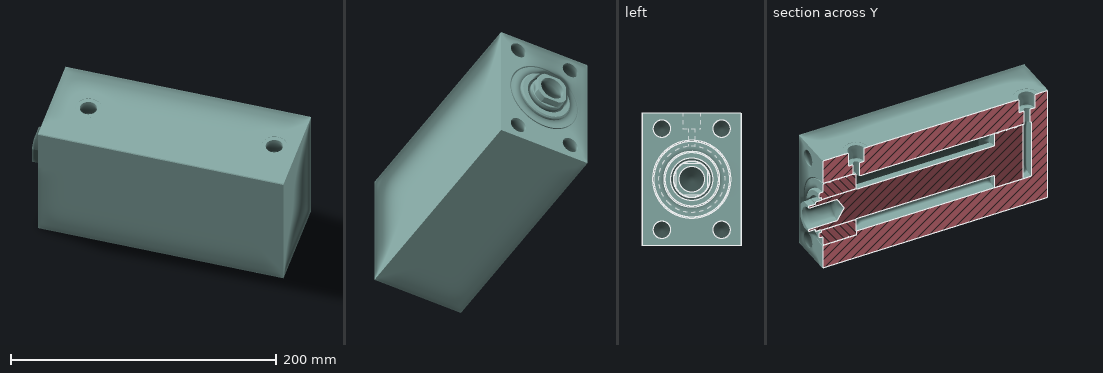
import cadquery as cq
import math

TOTAL_LENGTH = 205.0
BLOCK_WIDTH = 75.0
BLOCK_HEIGHT = 100.0
BLOCK_FACE_X = 12.0
EDGE_CHAMFER = 0.6

PORT_FRONT_X = 41.0
PORT_REAR_X = 187.0
PORT_SPOT_RADIUS = 10.0
PORT_SPOT_DEPTH = 0.2
PORT_RADIUS = 6.5
PORT_DEPTH = 12.3
PORT_FEED_RADIUS = 2.5

MOUNT_SPACING_Y = 45.0
MOUNT_SPACING_Z = 76.3
MOUNT_RADIUS = 6.5
MOUNT_DEPTH = 24.5
DRILL_TIP_ANGLE = 118.0

GLAND_RADIUS = 28.5
GLAND_SEAT_CHAMFER = 1.0
GLAND_NOSE_RADIUS = 21.1
GLAND_NOSE_LENGTH = 3.0
GLAND_NOSE_CHAMFER = 1.0
GLAND_FACE_X = BLOCK_FACE_X - GLAND_NOSE_LENGTH
GLAND_END_X = PORT_FRONT_X
WIPER_RADIUS = 16.0
WIPER_DEPTH = 1.8

ROD_RADIUS = 14.0
ROD_CHAMFER = 0.5
ROD_HOLE_RADIUS = 9.6
ROD_HOLE_DEPTH = 24.5
WRENCH_FLATS = 24.0
WRENCH_LENGTH = 5.7
BORE_RADIUS = 25.0
BORE_END_X = 190.6
PISTON_LENGTH = 24.5
PISTON_END_X = 183.7


def x_cylinder(radius, start_x, end_x):
    """A cylinder on the main axis between two X positions."""
    return cq.Workplane("YZ").workplane(offset=start_x).circle(radius).extrude(end_x - start_x)


def drill(radius, start_x, depth):
    """A drilled hole along +X on the main axis, with a conical tip."""
    tip_length = radius / math.tan(math.radians(DRILL_TIP_ANGLE / 2))
    profile = (
        cq.Workplane("XZ")
        .moveTo(start_x, 0)
        .lineTo(start_x, radius)
        .lineTo(start_x + depth, radius)
        .lineTo(start_x + depth + tip_length, 0)
        .close()
    )
    return profile.revolve(360, (0, 0, 0), (1, 0, 0))


def mouth_chamfer(hole_radius, size, face_x):
    """The cone that chamfers the front edge of a hole on the main axis at 45 degrees."""
    start = cq.Vector(face_x, 0, 0)
    cone = cq.Solid.makeCone(hole_radius + size, hole_radius, size, start, cq.Vector(1, 0, 0))
    return cq.Workplane(cone)


def port(x):
    """A port from the top face: a shallow spotface, the port hole and a feed hole into the bore."""
    top = cq.Workplane("XY").workplane(offset=BLOCK_HEIGHT / 2).center(x, 0)
    spotface = top.circle(PORT_SPOT_RADIUS).extrude(-PORT_SPOT_DEPTH)
    hole = top.circle(PORT_RADIUS).extrude(-PORT_DEPTH)
    feed = top.circle(PORT_FEED_RADIUS).extrude(-BLOCK_HEIGHT / 2)
    return spotface.union(hole).union(feed)


def make_housing():
    length = TOTAL_LENGTH - BLOCK_FACE_X
    block = cq.Workplane("XY").box(length, BLOCK_WIDTH, BLOCK_HEIGHT)
    block = block.translate((BLOCK_FACE_X + length / 2, 0, 0))
    block = block.edges("<Y and >Z").chamfer(EDGE_CHAMFER)

    block = block.cut(x_cylinder(BORE_RADIUS, BLOCK_FACE_X, BORE_END_X))
    seat = x_cylinder(GLAND_RADIUS, BLOCK_FACE_X, GLAND_END_X)
    block = block.cut(seat).cut(mouth_chamfer(GLAND_RADIUS, GLAND_SEAT_CHAMFER, BLOCK_FACE_X))

    for x in (PORT_FRONT_X, PORT_REAR_X):
        block = block.cut(port(x))

    mounting_hole = drill(MOUNT_RADIUS, BLOCK_FACE_X, MOUNT_DEPTH)
    for side_y in (-1, 1):
        for side_z in (-1, 1):
            place = (0, side_y * MOUNT_SPACING_Y / 2, side_z * MOUNT_SPACING_Z / 2)
            block = block.cut(mounting_hole.translate(place))
    return block


def make_gland():
    body = x_cylinder(GLAND_RADIUS, BLOCK_FACE_X, GLAND_END_X)
    nose = x_cylinder(GLAND_NOSE_RADIUS, GLAND_FACE_X, GLAND_END_X)
    nose = nose.faces("<X").chamfer(GLAND_NOSE_CHAMFER)
    rod_bore = x_cylinder(ROD_RADIUS, GLAND_FACE_X, GLAND_END_X)
    wiper_recess = x_cylinder(WIPER_RADIUS, GLAND_FACE_X, GLAND_FACE_X + WIPER_DEPTH)
    return body.union(nose).cut(rod_bore).cut(wiper_recess)


def make_rod():
    shank = x_cylinder(ROD_RADIUS, WRENCH_LENGTH, PISTON_END_X).faces("<X").chamfer(ROD_CHAMFER)
    piston = x_cylinder(BORE_RADIUS, PISTON_END_X - PISTON_LENGTH, PISTON_END_X)

    wrench = cq.Workplane("YZ").rect(WRENCH_FLATS, WRENCH_FLATS).extrude(WRENCH_LENGTH)
    wrench = wrench.intersect(x_cylinder(ROD_RADIUS - ROD_CHAMFER, 0, WRENCH_LENGTH))

    return shank.union(piston).union(wrench).cut(drill(ROD_HOLE_RADIUS, 0, ROD_HOLE_DEPTH))


housing = make_housing()
gland = make_gland()
rod = make_rod()

result = cq.Compound.makeCompound([housing.val(), gland.val(), rod.val()])